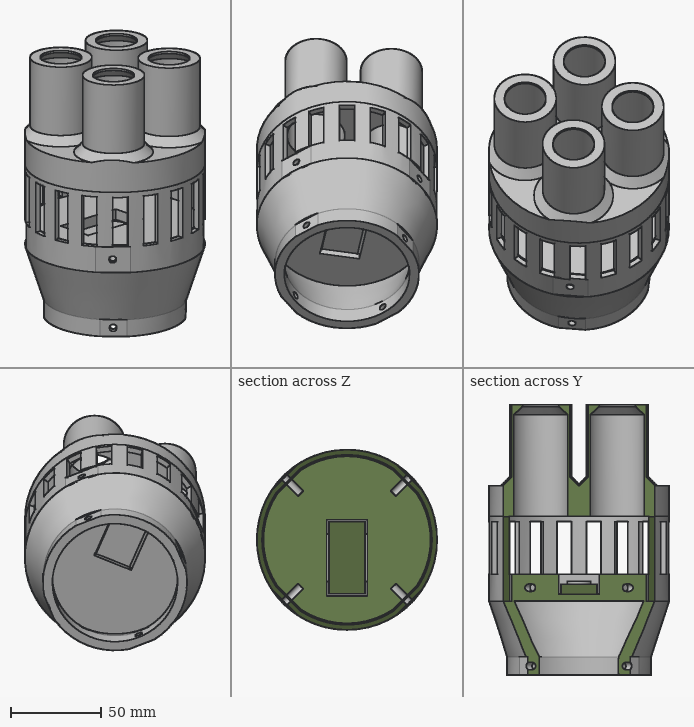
import cadquery as cq
import math

OVERALL_HEIGHT = 150.0
OUTER_DIAMETER = 100.0
WALL = 3.0
INNER_DIAMETER = OUTER_DIAMETER - 2 * WALL

COLLAR_TOP = 10.0
CONE_TOP = 41.0
PLUG_TOP = 56.0
CAP_BOTTOM = 88.0
CAP_TOP = 105.0
SKIRT_TOP = 110.0

COLLAR_DIAMETER = 80.0
ADAPTER_WALL = 5.2
PLUG_CLEARANCE = 0.6
PLUG_DIAMETER = INNER_DIAMETER - 2 * PLUG_CLEARANCE
PLUG_SCREW_DEPTH = 10.0

WINDOW_COUNT = 18
WINDOW_PITCH = 360 / WINDOW_COUNT
WINDOW_ANGLE = WINDOW_PITCH / 2
WINDOW_TOP = CAP_BOTTOM - WALL

PAD_COUNT = 4
PAD_ANGLES = [45 + i * 360 / PAD_COUNT for i in range(PAD_COUNT)]
SHELL_PAD_WIDTH = 19.5
COLLAR_PAD_WIDTH = 15.0
SCREW_DIAMETER = 4.0

INSERT_WIDTH = 20.1
INSERT_FRONT = -30.0
INSERT_BACK = 10.0
INSERT_TOP = 50.4
INSERT_BOTTOM = 45.0
BOSS_DIAMETER = 13.0
BOSS_HEIGHT = 1.5

RECESS_CLEARANCE = 1.0
RECESS_WIDTH = INSERT_WIDTH + 2 * RECESS_CLEARANCE
RECESS_LENGTH = INSERT_BACK - INSERT_FRONT + 2 * RECESS_CLEARANCE
INSERT_MIDDLE = (INSERT_FRONT + INSERT_BACK) / 2
SLOT_FRONT = -23.1
SLOT_LENGTH = 2 * (INSERT_MIDDLE - SLOT_FRONT)

TUBE_CIRCLE_RADIUS = 30.0
TUBE_OFFSET = TUBE_CIRCLE_RADIUS / math.sqrt(2)
TUBE_DIAMETER = 34.4
TUBE_BORE = 32.0
LIP_BORE = 23.0
LIP_HEIGHT = (TUBE_DIAMETER - TUBE_BORE) / 2
LIP_BOTTOM = OVERALL_HEIGHT - LIP_HEIGHT
SLOPE_BOTTOM = LIP_BOTTOM - (TUBE_BORE - LIP_BORE) / 2
SKIRT_DIAMETER = 44.0
TUBE_CENTRES = [(sx * TUBE_OFFSET, sy * TUBE_OFFSET) for sx in (-1, 1) for sy in (-1, 1)]


def cylinder(diameter, bottom, top, centre=(0, 0)):
    """Upright cylinder between two heights."""
    return cq.Workplane("XY", origin=(*centre, bottom)).circle(diameter / 2).extrude(top - bottom)


def frustum(bottom_diameter, top_diameter, bottom, top, centre=(0, 0)):
    """Upright truncated cone between two heights."""
    base = cq.Vector(*centre, bottom)
    return cq.Workplane(cq.Solid.makeCone(bottom_diameter / 2, top_diameter / 2, top - bottom, pnt=base))


def block(width, length, bottom, top, centre):
    """Upright rectangular block between two heights."""
    return cq.Workplane("XY", origin=(*centre, bottom)).rect(width, length).extrude(top - bottom)


def turned(body, angle):
    """The body turned about the part's axis."""
    return body.rotate((0, 0, 0), (0, 0, 1), angle)


def flat_radius(diameter, pad_width):
    """Distance from the axis to a flat pad of the given width on a round wall."""
    return math.sqrt((diameter / 2) ** 2 - (pad_width / 2) ** 2)


def cut_flats(body, radius, bottom, top):
    """Trim a round body flat at the given distance from the axis in each pad direction."""
    trim = block(WALL, 2 * radius, bottom, top, (radius + WALL / 2, 0))
    for angle in PAD_ANGLES:
        body = body.cut(turned(trim, angle))
    return body


def cut_screw_holes(body, diameter, depth, bottom, top):
    """Cut a radial screw hole at mid-height on each pad direction, down from the given diameter."""
    start = (diameter / 2 - depth, 0, (bottom + top) / 2)
    hole = cq.Workplane("YZ", origin=start).circle(SCREW_DIAMETER / 2).extrude(depth)
    for angle in PAD_ANGLES:
        body = body.cut(turned(hole, angle))
    return body


def cut_windows(body):
    """Cut the ring of tapered windows through the shell wall."""
    reach = OUTER_DIAMETER
    half_width = reach * math.tan(math.radians(WINDOW_ANGLE / 2))
    sector = (
        cq.Workplane("XY", origin=(0, 0, PLUG_TOP))
        .polyline([(0, 0), (reach, -half_width), (reach, half_width)])
        .close()
        .extrude(WINDOW_TOP - PLUG_TOP)
    )
    for i in range(WINDOW_COUNT):
        body = body.cut(turned(sector, i * WINDOW_PITCH))
    return body


def make_adapter():
    """Collar, cone and plug, with the insert's recess in the plug."""
    body = cylinder(COLLAR_DIAMETER, 0, COLLAR_TOP)
    body = body.union(frustum(COLLAR_DIAMETER, OUTER_DIAMETER, COLLAR_TOP, CONE_TOP))
    plug = cylinder(PLUG_DIAMETER, CONE_TOP, PLUG_TOP)
    plug_flat = flat_radius(OUTER_DIAMETER, SHELL_PAD_WIDTH) - WALL - PLUG_CLEARANCE
    body = body.union(cut_flats(plug, plug_flat, CONE_TOP, PLUG_TOP))

    collar_bore = COLLAR_DIAMETER - 2 * ADAPTER_WALL
    cone_bore = OUTER_DIAMETER - 2 * ADAPTER_WALL
    body = body.cut(cylinder(collar_bore, 0, COLLAR_TOP))
    body = body.cut(frustum(collar_bore, cone_bore, COLLAR_TOP, CONE_TOP))

    collar_flat = flat_radius(COLLAR_DIAMETER, COLLAR_PAD_WIDTH)
    body = cut_flats(body, collar_flat, 0, COLLAR_TOP)
    body = cut_screw_holes(body, COLLAR_DIAMETER, 2 * ADAPTER_WALL, 0, COLLAR_TOP)
    body = cut_screw_holes(body, PLUG_DIAMETER, PLUG_SCREW_DEPTH, CONE_TOP, PLUG_TOP)

    middle = (0, INSERT_MIDDLE)
    body = body.cut(block(RECESS_WIDTH, RECESS_LENGTH, INSERT_BOTTOM, PLUG_TOP, middle))
    return body.cut(block(RECESS_WIDTH, SLOT_LENGTH, CONE_TOP, INSERT_BOTTOM, middle))


def make_insert():
    """Block on the recess's ledge, with its boss."""
    length = INSERT_BACK - INSERT_FRONT
    body = block(INSERT_WIDTH, length, INSERT_BOTTOM, INSERT_TOP, (0, INSERT_MIDDLE))
    return body.union(cylinder(BOSS_DIAMETER, INSERT_TOP, INSERT_TOP + BOSS_HEIGHT))


def make_shell():
    """Windowed sleeve between the cone and the cap; its wall is equally thick at the flat pads."""
    pad_flat = flat_radius(OUTER_DIAMETER, SHELL_PAD_WIDTH)
    body = cylinder(OUTER_DIAMETER, CONE_TOP, CAP_BOTTOM)
    body = cut_flats(body, pad_flat, CONE_TOP, PLUG_TOP)
    cavity = cylinder(INNER_DIAMETER, CONE_TOP, CAP_BOTTOM)
    body = body.cut(cut_flats(cavity, pad_flat - WALL, CONE_TOP, PLUG_TOP))
    body = cut_windows(body)
    return cut_screw_holes(body, OUTER_DIAMETER, 2 * WALL, CONE_TOP, PLUG_TOP)


def make_cap():
    """Disc with four tubes, each on a conical skirt trimmed to the disc's outline."""
    body = cylinder(OUTER_DIAMETER, CAP_BOTTOM, CAP_TOP)
    for centre in TUBE_CENTRES:
        body = body.union(frustum(SKIRT_DIAMETER, TUBE_DIAMETER, CAP_TOP, SKIRT_TOP, centre))
    body = body.intersect(cylinder(OUTER_DIAMETER, CAP_BOTTOM, SKIRT_TOP))
    for centre in TUBE_CENTRES:
        body = body.union(cylinder(TUBE_DIAMETER, CAP_TOP, OVERALL_HEIGHT, centre))
    for centre in TUBE_CENTRES:
        body = body.cut(cylinder(TUBE_BORE, CAP_BOTTOM, SLOPE_BOTTOM, centre))
        body = body.cut(frustum(TUBE_BORE, LIP_BORE, SLOPE_BOTTOM, LIP_BOTTOM, centre))
        body = body.cut(cylinder(LIP_BORE, LIP_BOTTOM, OVERALL_HEIGHT, centre))
    return body


adapter = make_adapter()
insert = make_insert()
shell = make_shell()
cap = make_cap()

result = cq.Compound.makeCompound([adapter.val(), insert.val(), shell.val(), cap.val()])